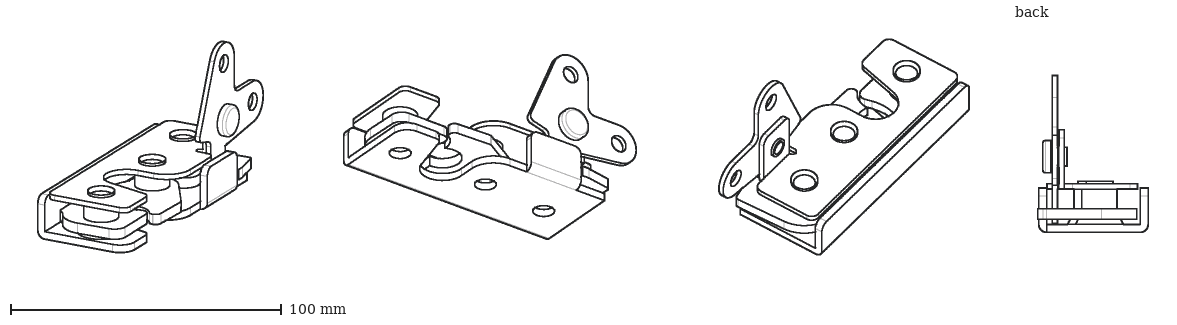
import cadquery as cq
import math

length = 92.0
housing_width = 40.5
sheet = 3.0
bend_radius = 3.0
wall_height = 16.5
corner_radius = 3.0
floor_corner_radius = 6.0
floor_right = housing_width - sheet
right_wall_front = 56.3
right_wall_length = 22.8

cover_thickness = 2.0
cover_bottom = 16.0
cover_top = cover_bottom + cover_thickness
cover_left = 3.9
tab_left = 31.0
tab_right = tab_left + cover_thickness
tab_front = 70.0
tab_width = 16.0
tab_top = 38.0
relief_width = 3.0
relief_depth = 1.7

mouth_radius = 8.5
mouth_center = (20.9, 30.0)
mouth_slope = math.radians(14)
mouth_shoulder_radius = 10.0

lower_pivot = (21.0, 10.5)
upper_pivot = (21.0, 49.5)
pawl_pivot = (18.0, 78.4)
pivots = [lower_pivot, upper_pivot, pawl_pivot]
bore_diameter = 8.0
neck_diameter = 10.0
neck_height = 1.0
barrel_diameter = 13.0
flange_diameter = 17.8
flange_top_diameter = 15.8
countersink_diameter = 9.9
countersink_angle = 60.0

jaw_thickness = 4.0
jaw_bottom = 4.8
jaw_top = jaw_bottom + jaw_thickness

lever_thickness = 2.0
lever_left = 33.5
lever_right = lever_left + lever_thickness
rivet_y = 78.0
rivet_z = 28.0
rivet_shank_diameter = 8.0
rivet_tail_diameter = 7.0
lobe_radius = 8.0
lobe_hole_diameter = 6.5
lobe_reach = 22.0


def rounded_outline(workplane, corners):
    """Close a polygon of (u, v, radius) corners, each rounded by a tangent arc."""
    stops = []
    for i, (u, v, radius) in enumerate(corners):
        corner = cq.Vector(u, v)
        back = (cq.Vector(*corners[i - 1][:2]) - corner).normalized()
        ahead = (cq.Vector(*corners[(i + 1) % len(corners)][:2]) - corner).normalized()
        half_angle = back.getAngle(ahead) / 2
        setback = radius / math.tan(half_angle)
        to_middle = radius / math.sin(half_angle) - radius
        middle = corner + (back + ahead).normalized() * to_middle
        stops.append((corner + back * setback, middle, corner + ahead * setback, radius))

    outline = workplane.moveTo(*stops[0][0].toTuple()[:2])
    here = stops[0][0]
    tolerance = 1e-4
    for start, middle, end, radius in stops:
        if (start - here).Length > tolerance:
            outline = outline.lineTo(start.x, start.y)
        if radius > 0:
            outline = outline.threePointArc((middle.x, middle.y), (end.x, end.y))
        here = end
    return outline.close()


def mouth_corners(shoulder_x):
    """Mouth corners from the slanted lower lip round to the upper shoulder."""
    center_x, center_y = mouth_center
    left = center_x - mouth_radius

    def lip_y(x):
        return center_y - mouth_radius / math.cos(mouth_slope) - (x - center_x) * math.tan(mouth_slope)

    return [
        (shoulder_x, lip_y(shoulder_x), corner_radius),
        (left, lip_y(left), mouth_radius),
        (left, center_y + mouth_radius, mouth_radius),
        (shoulder_x, center_y + mouth_radius, mouth_shoulder_radius),
    ]


def cylinder_z(center, diameter, bottom, top):
    """Upright cylinder between two heights."""
    return cq.Workplane("XY", origin=(*center, bottom)).circle(diameter / 2).extrude(top - bottom)


def rivet_cylinder(diameter, left, right):
    """Cylinder along X on the rivet axis."""
    plane = cq.Workplane("YZ", origin=(left, rivet_y, rivet_z))
    return plane.circle(diameter / 2).extrude(right - left)


def jaw_layer():
    """Workplane on the underside of the jaws and the pawl."""
    return cq.Workplane("XY").workplane(offset=jaw_bottom)


def wall(x, front, wall_length):
    """Upright wall with rounded top corners."""
    panel = cq.Workplane("XY").box(sheet, wall_length, wall_height, centered=False)
    panel = panel.edges("|X and >Z").fillet(corner_radius)
    return panel.translate((x, front, 0))


def build_housing():
    corners = [
        (0, 0, 0),
        (floor_right, 0, floor_corner_radius),
        *mouth_corners(floor_right),
        (floor_right, length, 0),
        (0, length, 0),
    ]
    body = rounded_outline(cq.Workplane("XY"), corners).extrude(sheet)
    body = body.union(wall(0, 0, length))
    body = body.union(wall(floor_right, right_wall_front, right_wall_length))
    body = body.edges("|Y and <Z and (<X or >X)").fillet(bend_radius)
    for pivot in pivots:
        body = body.cut(cylinder_z(pivot, bore_diameter, 0, sheet))
    return body


def build_cover():
    relief_front = tab_front - relief_width
    relief_left = tab_left - relief_depth
    corners = [
        (cover_left, 0, corner_radius),
        (floor_right, 0, corner_radius),
        *mouth_corners(floor_right),
        (floor_right, relief_front, corner_radius),
        (relief_left, relief_front, relief_width / 2),
        (relief_left, tab_front, relief_width / 2),
        (tab_left, tab_front, 0),
        (tab_left, length, corner_radius),
        (cover_left, length, corner_radius),
    ]
    plate = rounded_outline(cq.Workplane("XY").workplane(offset=cover_bottom), corners)
    plate = plate.extrude(cover_thickness)

    tab = cq.Workplane("XY").box(cover_thickness, tab_width, tab_top - cover_bottom, centered=False)
    tab = tab.edges("|X and >Z").fillet(corner_radius)
    plate = plate.union(tab.translate((tab_left, tab_front, cover_bottom)))

    for pivot in pivots:
        plate = plate.cut(cylinder_z(pivot, neck_diameter, cover_bottom, cover_top))
    rivet_hole = rivet_cylinder(rivet_tail_diameter, tab_left, tab_right)
    return plate.cut(rivet_hole)


def build_bushing(pivot):
    """Flanged bushing from the floor up through the cover, countersunk at the top."""
    flange = (
        cq.Workplane("XY", origin=(*pivot, sheet))
        .circle(flange_diameter / 2)
        .workplane(offset=jaw_bottom - sheet)
        .circle(flange_top_diameter / 2)
        .loft()
    )
    barrel = cylinder_z(pivot, barrel_diameter, sheet, cover_bottom)
    neck = cylinder_z(pivot, neck_diameter, cover_bottom, cover_top + neck_height)
    body = flange.union(barrel).union(neck)
    top = body.faces(">Z").workplane(origin=pivot)
    return top.cskHole(bore_diameter, countersink_diameter, countersink_angle)


def build_lower_jaw():
    """Jaw with a round heel, a dished throat edge and a blunt tip under the hook of the upper jaw."""
    left = 4.4
    right = 34.3
    top = 27.0
    heel_radius = 10.5
    heel_low = (16.7, -0.04)
    heel_center = (heel_low[0], heel_low[1] + heel_radius)
    heel_low_angle = math.radians(270)
    heel_end_angle = math.radians(201)
    heel_flat_angle = math.radians(135)
    toe_start = (29.8, 0.3)
    toe_middle = (32.95, 1.6)
    toe_end = (right, 4.6)
    tip_start = (right, 20.7)
    tip_middle = (33.2, 23.0)
    tip_end = (30.6, 23.7)
    throat_start = (27.8, 22.9)
    throat_middle = (21.5, 22.35)
    throat_end = (12.0, 26.6)

    def heel_point(angle):
        return (
            heel_center[0] + heel_radius * math.cos(angle),
            heel_center[1] + heel_radius * math.sin(angle),
        )

    heel_end = heel_point(heel_end_angle)
    flat_rise = (left - heel_end[0]) * math.tan(heel_flat_angle)
    body = (
        jaw_layer()
        .moveTo(*heel_low)
        .lineTo(*toe_start)
        .threePointArc(toe_middle, toe_end)
        .lineTo(*tip_start)
        .threePointArc(tip_middle, tip_end)
        .lineTo(*throat_start)
        .threePointArc(throat_middle, throat_end)
        .lineTo(left, top)
        .lineTo(left, heel_end[1] + flat_rise)
        .lineTo(*heel_end)
        .threePointArc(heel_point((heel_low_angle + heel_end_angle) / 2), heel_low)
        .close()
        .extrude(jaw_thickness)
    )
    return body.cut(cylinder_z(lower_pivot, barrel_diameter, jaw_bottom, jaw_top))


def build_upper_jaw():
    """Round head and hook; two hollows form the throat and clear the lower jaw tip."""
    head_radius = 9.75
    tangent_angle = math.radians(32)
    throat_center = (20.65, 30.05)
    throat_radius = 7.25
    hook_hollow_center = (27.6, 18.4)
    hook_hollow_radius = 8.2
    tip_bottom = 21.8
    tip_outer = 38.6
    tip_outer_radius = 2.2
    tip_inner_radius = 1.9
    knuckle = (39.1, 38.8)
    knuckle_radius = 1.0
    heel = 29.6
    heel_left = 7.0
    heel_top = 40.0
    hollow_drop = hook_hollow_center[1] - tip_bottom
    tip_inner_corner = (
        hook_hollow_center[0] + math.sqrt(hook_hollow_radius ** 2 - hollow_drop ** 2),
        tip_bottom,
    )
    tangent = (
        upper_pivot[0] + head_radius * math.cos(tangent_angle),
        upper_pivot[1] + head_radius * math.sin(tangent_angle),
    )
    corners = [
        (*tangent, 0),
        (*knuckle, knuckle_radius),
        (tip_outer, tip_bottom, tip_outer_radius),
        (hook_hollow_center[0], tip_bottom, 0),
        (throat_center[0], heel, 0),
        (heel_left, heel, 0),
        (heel_left, heel_top, 0),
        (upper_pivot[0] - head_radius, upper_pivot[1], 0),
    ]
    body = rounded_outline(jaw_layer(), corners).extrude(jaw_thickness)
    body = body.union(cylinder_z(upper_pivot, 2 * head_radius, jaw_bottom, jaw_top))
    body = body.cut(cylinder_z(throat_center, 2 * throat_radius, jaw_bottom, jaw_top))
    body = body.cut(cylinder_z(hook_hollow_center, 2 * hook_hollow_radius, jaw_bottom, jaw_top))
    tip_corner = (*tip_inner_corner, jaw_bottom + jaw_thickness / 2)
    body = body.edges(cq.selectors.NearestToPointSelector(tip_corner)).fillet(tip_inner_radius)
    return body.cut(cylinder_z(upper_pivot, barrel_diameter, jaw_bottom, jaw_top))


def build_pawl():
    """Round head with a toe towards the upper jaw and an arm behind the lever tail."""
    head_radius = 13.85
    toe_center = (24.7, 67.0)
    toe_radius = 6.0
    back_slope = math.radians(2.6)
    arm_right = 40.84
    arm_front = 79.5
    arm_back_x = 38.8
    arm_bend_y = 82.2
    arm_back_radius = 1.2
    tangent = (
        pawl_pivot[0] - head_radius * math.sin(back_slope),
        pawl_pivot[1] + head_radius * math.cos(back_slope),
    )
    back_y = tangent[1] + (arm_back_x - tangent[0]) * math.tan(back_slope)
    corners = [
        (*tangent, 0),
        (*pawl_pivot, 0),
        (pawl_pivot[0], arm_front, 0),
        (arm_right, arm_front, 0),
        (arm_right, arm_bend_y, 0),
        (arm_back_x, back_y, arm_back_radius),
    ]
    body = rounded_outline(jaw_layer(), corners).extrude(jaw_thickness)
    body = body.union(cylinder_z(pawl_pivot, 2 * head_radius, jaw_bottom, jaw_top))
    body = body.union(cylinder_z(toe_center, 2 * toe_radius, jaw_bottom, jaw_top))
    return body.cut(cylinder_z(pawl_pivot, barrel_diameter, jaw_bottom, jaw_top))


def build_lever():
    """Bell-crank plate with an upper and a rear lobe and a tail reaching down to the pawl."""
    back_y = rivet_y + lobe_reach
    top_z = rivet_z + lobe_reach
    front_lean = math.radians(22.7)
    under_slope = math.radians(7)
    nose_slope = math.radians(15.3)
    stalk_front = 68.0
    stalk_back = 79.0
    tail_bottom = 3.3
    tail_radius = 2.0
    tail_knee_z = 13.4
    tail_toe_y = 71.5
    nose_z = 24.9
    nose_radius = 2.0
    nose_fillet = 2.5
    lobe_fillet = 3.0

    def front_y(z):
        return rivet_y - lobe_radius / math.cos(front_lean) - (top_z - z) * math.tan(front_lean)

    def under_z(y):
        return rivet_z - lobe_radius / math.cos(under_slope) + (y - back_y) * math.tan(under_slope)

    nose_y = front_y(nose_z)
    throat_z = nose_z - (stalk_front - nose_y) * math.tan(nose_slope)
    lobe_top = top_z + lobe_radius
    lobe_back = back_y + lobe_radius
    corners = [
        (rivet_y + lobe_radius, lobe_top, lobe_radius),
        (front_y(lobe_top), lobe_top, lobe_radius),
        (nose_y, nose_z, nose_radius),
        (stalk_front, throat_z, nose_fillet),
        (stalk_front, tail_knee_z, tail_radius),
        (tail_toe_y, tail_bottom, tail_radius),
        (stalk_back, tail_bottom, tail_radius),
        (stalk_back, under_z(stalk_back), 0),
        (lobe_back, under_z(lobe_back), lobe_radius),
        (lobe_back, rivet_z + lobe_radius, lobe_radius),
        (rivet_y + lobe_radius, rivet_z + lobe_radius, lobe_fillet),
    ]
    plane = cq.Workplane("YZ", origin=(lever_left, 0, 0))
    body = rounded_outline(plane, corners).extrude(lever_thickness)
    holes = plane.pushPoints([(rivet_y, top_z), (back_y, rivet_z)])
    body = body.cut(holes.circle(lobe_hole_diameter / 2).extrude(lever_thickness))
    return body.cut(rivet_cylinder(rivet_shank_diameter, lever_left, lever_right))


def build_rivet():
    """Stepped rivet: small tail through the tab, shank through the lever, domed-edge head."""
    tail_left = 30.0
    head_left = 36.0
    head_right = 39.0
    head_diameter = 12.0
    head_fillet = 1.0
    recess_diameter = 5.0
    recess_depth = 2.5
    head = rivet_cylinder(head_diameter, head_left, head_right).faces(">X").edges().fillet(head_fillet)
    shank = rivet_cylinder(rivet_shank_diameter, tab_right, head_left)
    tail = rivet_cylinder(rivet_tail_diameter, tail_left, tab_right)
    recess = cq.Solid.makeCone(
        recess_diameter / 2, 0, recess_depth,
        pnt=cq.Vector(tail_left, rivet_y, rivet_z), dir=cq.Vector(1, 0, 0),
    )
    return head.union(shank).union(tail).cut(cq.Workplane(recess))


housing = build_housing()
cover = build_cover()
bushings = [build_bushing(pivot) for pivot in pivots]
lower_jaw = build_lower_jaw()
upper_jaw = build_upper_jaw()
pawl = build_pawl()
lever = build_lever()
rivet = build_rivet()

result = cq.Compound.makeCompound([
    housing.val(),
    cover.val(),
    *[bushing.val() for bushing in bushings],
    lower_jaw.val(),
    upper_jaw.val(),
    pawl.val(),
    lever.val(),
    rivet.val(),
])